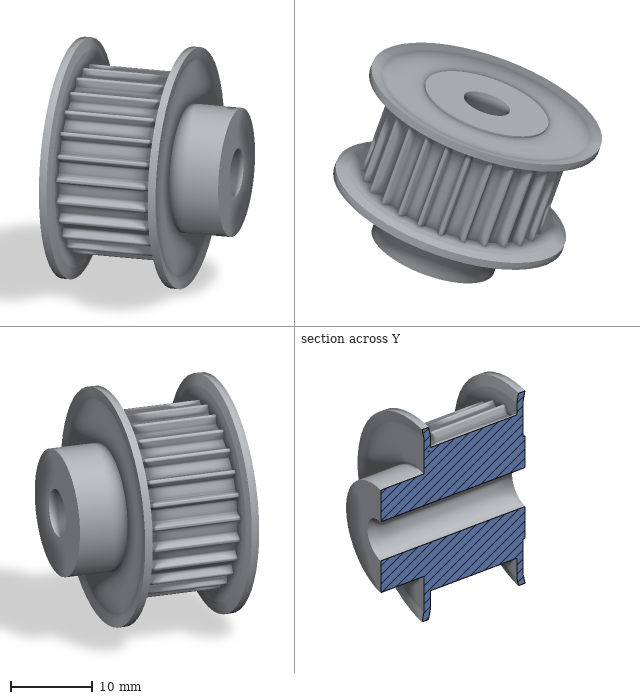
import cadquery as cq
import math


flange_diameter = 30.0
flange_flat_diameter = 27.0
flange_thickness = 1.0
flange_flare = 0.27
flange_span = 15.0

hub_diameter = 16.02
hub_length = 6.0
bore_diameter = 6.0
overall_length = flange_span + hub_length

tooth_count = 25
tip_radius = 11.73
root_radius = 10.62
tooth_tip_width = 0.45
tooth_root_width = 1.08
tooth_tip_fillet = 0.2
tooth_root_fillet = 0.25


def disc(diameter, x_start, x_end):
    """Solid cylinder along X."""
    return cq.Workplane("YZ", origin=(x_start, 0, 0)).circle(diameter / 2).extrude(x_end - x_start)


def dished_flange():
    """First flange, revolved about X: flat web with a rim flared toward -X."""
    flat_radius = flange_flat_diameter / 2
    rim_radius = flange_diameter / 2
    section = [
        (flange_flare, 0),
        (flange_flare, flat_radius),
        (0, rim_radius),
        (flange_thickness, rim_radius),
        (flange_thickness + flange_flare, flat_radius),
        (flange_thickness + flange_flare, 0),
    ]
    return cq.Workplane("XY").polyline(section).close().revolve(360, (0, 0, 0), (1, 0, 0))


def point_on_circle(radius, angle):
    """(Y, Z) point at an angle measured from +Z toward +Y."""
    return (radius * math.sin(angle), radius * math.cos(angle))


def axis_distance(edge):
    """Distance of an edge parallel to X from the pulley axis."""
    center = edge.Center()
    return math.hypot(center.y, center.z)


def toothed_rim(x_start, x_end):
    """Narrow tapered teeth between root arcs; one tooth points along +Z."""
    pitch_angle = 2 * math.pi / tooth_count
    root_half_angle = math.asin(tooth_root_width / 2 / root_radius)
    tip_half_angle = math.asin(tooth_tip_width / 2 / tip_radius)

    outline = cq.Workplane("YZ", origin=(x_start, 0, 0))
    outline = outline.moveTo(*point_on_circle(root_radius, -root_half_angle))
    for tooth in range(tooth_count):
        center = tooth * pitch_angle
        outline = outline.lineTo(*point_on_circle(tip_radius, center - tip_half_angle))
        outline = outline.threePointArc(
            point_on_circle(tip_radius, center),
            point_on_circle(tip_radius, center + tip_half_angle),
        )
        outline = outline.lineTo(*point_on_circle(root_radius, center + root_half_angle))
        outline = outline.threePointArc(
            point_on_circle(root_radius, center + pitch_angle / 2),
            point_on_circle(root_radius, center + pitch_angle - root_half_angle),
        )
    rim = outline.close().extrude(x_end - x_start)

    middle_radius = (root_radius + tip_radius) / 2
    tip_corners = rim.edges("|X").filter(lambda edge: axis_distance(edge) > middle_radius)
    rim = tip_corners.fillet(tooth_tip_fillet)
    root_corners = rim.edges("|X").filter(lambda edge: axis_distance(edge) < middle_radius)
    return root_corners.fillet(tooth_root_fillet)


near_flange = dished_flange()
far_flange = near_flange.mirror("YZ").translate((flange_span, 0, 0))
web_inner_face = flange_flare + flange_thickness
rim = toothed_rim(web_inner_face, flange_span - web_inner_face)
hub = disc(hub_diameter, 0, overall_length)
bore = disc(bore_diameter, 0, overall_length)

result = rim.union(near_flange).union(far_flange).union(hub).cut(bore)